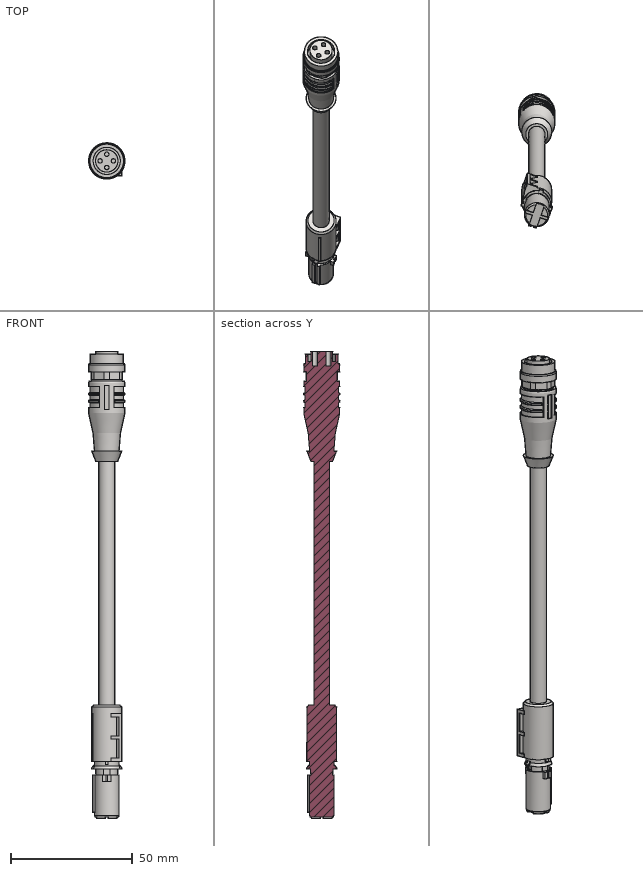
import cadquery as cq
import math

TOTAL_LENGTH = 192.6
GRIP_RADIUS = 7.5
CABLE_RADIUS = 3.4

FACE_RADIUS = 4.6
RING_RADIUS = 6.9
RING_TOP = TOTAL_LENGTH - 1.2
COLLAR_TOP = RING_TOP - 3.9
COLLAR_BOTTOM = COLLAR_TOP - 3.4
GRIP_TOP = COLLAR_BOTTOM - 3.8
GRIP_BOTTOM = GRIP_TOP - 13.3
GRIP_CHAMFER_HEIGHT = 0.8
COLLAR_CHAMFER_HEIGHT = 0.6
CHAMFER_WIDTH = 0.2
GAP_RADIUS = 6.3
HEX_BOTTOM = GRIP_TOP + 0.6
SHOULDER_RADIUS = 5.7
SHOULDER_Z = GRIP_BOTTOM - 8.1
BOOT_WAIST_RADIUS = 5.1
BOOT_RIM_RADIUS = 6.2
BOOT_RIM_Z = SHOULDER_Z - 7.5
BOOT_END_RADIUS = 4.5
BOOT_END_Z = BOOT_RIM_Z - 4.3
HEX_ACROSS_FLATS = 12.9
HEX_SIDES = 6
RING_INNER_RADIUS = 5.6
RING_GROOVE_DEPTH = 3.0

CONTACT_COUNT = 4
CONTACT_RADIUS = 0.9
CONTACT_CIRCLE_RADIUS = 2.75
CONTACT_DEPTH = 6.0

GRIP_RECESS_DEPTH = 0.5
PANEL_TOP = GRIP_TOP - 2.3
PANEL_HEIGHT = 8.6
PANEL_X_START = 2.9
PANEL_RIB_COUNT = 2
PANEL_RIB_PITCH = 3.0
PANEL_RIB_BASE = 1.4
PANEL_RIB_CREST = 0.6
PANEL_RIB_X_START = 3.5
GRIP_SLOT_WIDTH = 2.0
GRIP_SLOT_LENGTH = 10.0
GRIP_SLOT_TOP = GRIP_TOP - 1.8

SLEEVE_RADIUS = 6.2
SLEEVE_TOP = 46.8
SLEEVE_BOTTOM = 23.5
SLEEVE_CHAMFER = 0.8
NECK_RADIUS = 5.1
FLANGE_RADIUS = 5.7
FLANGE_TOP = 21.7
FLANGE_BOTTOM = 20.4
WAIST_RADIUS = 4.5
PLUG_RADIUS = 5.1
PLUG_TOP = 18.0
PLUG_CHAMFER = 0.6
PLUG_CHAMFER_HEIGHT = 1.2

HOOK_REACH = 6.2
HOOK_WIDTH = 1.8
HOOK_TOP = 22.2
HOOK_TIP_HEIGHT = 0.5
HOOK_ARM_REACH = 4.65
HOOK_ARM_BOTTOM = 18.6
NUB_WIDTH = 1.2
NUB_REACH = 5.7
NUB_HEIGHT = 1.3
TAB_WIDTH = 3.4
TAB_REACH = 6.2
TAB_HEIGHT = 2.8
TAB_SLOT_WIDTH = 0.7
TAB_SLOT_DEPTH = 0.5
WINDOW_WIDTH = 2.8
WINDOW_DEPTH = 0.4
KEY_REACH = 5.8
KEY_WIDTH = 3.4
KEY_GROOVE_WIDTH = 1.0
KEY_BOTTOM = 2.5
END_SLOT_WIDE = 3.4
END_SLOT_NARROW = 1.2
END_SLOT_DEPTH = 0.6

HOLDER_X = 6.2
HOLDER_Y = -6.2
HOLDER_INNER = 1.8
HOLDER_TOP = 43.3
HOLDER_BOTTOM = 23.5
HOLDER_LEG_COUNT = 3
HOLDER_LEG_HEIGHT = 1.4
HOLDER_SPINE_SIZE = 1.2
HOLDER_WEB_THICKNESS = 1.0
HOLDER_WEB_REACH = 8.0
HOLDER_ANGLE = -45
SLEEVE_RIB_Y = -1.8
SLEEVE_RIB_WIDTH = 1.0


def block(x_range, y_range, z_range):
    """Box given by its lower and upper limit on each axis."""
    (x0, x1), (y0, y1), (z0, z1) = x_range, y_range, z_range
    return cq.Workplane("XY").box(x1 - x0, y1 - y0, z1 - z0, centered=False).translate((x0, y0, z0))


def disc(radius, bottom, top):
    return cq.Workplane("XY").workplane(offset=bottom).circle(radius).extrude(top - bottom)


def turned_body():
    """All coaxial diameters, from the plug end up to the female face."""
    outline = [
        (0, 0),
        (PLUG_RADIUS - PLUG_CHAMFER, 0),
        (PLUG_RADIUS, PLUG_CHAMFER_HEIGHT),
        (PLUG_RADIUS, PLUG_TOP),
        (WAIST_RADIUS, PLUG_TOP),
        (WAIST_RADIUS, FLANGE_BOTTOM),
        (FLANGE_RADIUS, FLANGE_BOTTOM),
        (NECK_RADIUS, FLANGE_TOP),
        (NECK_RADIUS, SLEEVE_BOTTOM),
        (SLEEVE_RADIUS, SLEEVE_BOTTOM),
        (SLEEVE_RADIUS, SLEEVE_TOP - SLEEVE_CHAMFER),
        (SLEEVE_RADIUS - SLEEVE_CHAMFER, SLEEVE_TOP),
        (CABLE_RADIUS, SLEEVE_TOP),
        (CABLE_RADIUS, BOOT_END_Z),
        (BOOT_END_RADIUS, BOOT_END_Z),
        (BOOT_RIM_RADIUS, BOOT_RIM_Z),
        (BOOT_WAIST_RADIUS, BOOT_RIM_Z),
        (SHOULDER_RADIUS, SHOULDER_Z),
        (GRIP_RADIUS, GRIP_BOTTOM),
        (GRIP_RADIUS, GRIP_TOP - GRIP_CHAMFER_HEIGHT),
        (GRIP_RADIUS - CHAMFER_WIDTH, GRIP_TOP),
        (GAP_RADIUS, GRIP_TOP),
        (GAP_RADIUS, HEX_BOTTOM),
        (RING_RADIUS, HEX_BOTTOM),
        (RING_RADIUS, COLLAR_BOTTOM),
        (GRIP_RADIUS, COLLAR_BOTTOM),
        (GRIP_RADIUS, COLLAR_TOP - COLLAR_CHAMFER_HEIGHT),
        (GRIP_RADIUS - CHAMFER_WIDTH, COLLAR_TOP),
        (RING_RADIUS, COLLAR_TOP),
        (RING_RADIUS, RING_TOP),
        (FACE_RADIUS, RING_TOP),
        (FACE_RADIUS, TOTAL_LENGTH),
        (0, TOTAL_LENGTH),
    ]
    return cq.Workplane("XZ").polyline(outline).close().revolve(360, (0, 0, 0), (0, 1, 0))


def hex_flats():
    """Material outside the rounded hexagon below the collar; one flat faces -X."""
    height = COLLAR_BOTTOM - HEX_BOTTOM
    corner_diameter = HEX_ACROSS_FLATS / math.cos(math.pi / HEX_SIDES)
    half_step = 180 / HEX_SIDES
    hexagon = cq.Workplane("XY").polygon(HEX_SIDES, corner_diameter).extrude(height)
    hexagon = hexagon.rotate((0, 0, 0), (0, 0, 1), half_step).translate((0, 0, HEX_BOTTOM))
    return disc(GRIP_RADIUS, HEX_BOTTOM, COLLAR_BOTTOM).cut(hexagon)


def face_recesses():
    """Annular gap around the insert, and the contact holes in its face."""
    gap_bottom = RING_TOP - RING_GROOVE_DEPTH
    cutter = disc(RING_INNER_RADIUS, gap_bottom, RING_TOP).cut(disc(FACE_RADIUS, gap_bottom, RING_TOP))
    contacts = (
        cq.Workplane("XY")
        .workplane(offset=TOTAL_LENGTH - CONTACT_DEPTH)
        .polarArray(CONTACT_CIRCLE_RADIUS, 0, 360, CONTACT_COUNT)
        .circle(CONTACT_RADIUS)
        .extrude(CONTACT_DEPTH)
    )
    return cutter.union(contacts)


def grip_band(x_limit, bottom, top):
    """Slice of the grip's outer skin, on both sides where |X| exceeds the limit."""
    skin = disc(GRIP_RADIUS, bottom, top).cut(disc(GRIP_RADIUS - GRIP_RECESS_DEPTH, bottom, top))
    return skin.cut(block((-x_limit, x_limit), (-GRIP_RADIUS, GRIP_RADIUS), (bottom, top)))


def grip_panels():
    """Recessed finger panels on the +X and -X sides, with ribs left standing in them."""
    floor_radius = GRIP_RADIUS - GRIP_RECESS_DEPTH
    panels = grip_band(PANEL_X_START, PANEL_TOP - PANEL_HEIGHT, PANEL_TOP)
    for index in range(PANEL_RIB_COUNT):
        middle = PANEL_TOP - (index + 1) * PANEL_RIB_PITCH
        section = [
            (floor_radius, middle - PANEL_RIB_BASE / 2),
            (GRIP_RADIUS, middle - PANEL_RIB_CREST / 2),
            (GRIP_RADIUS, middle + PANEL_RIB_CREST / 2),
            (floor_radius, middle + PANEL_RIB_BASE / 2),
        ]
        ring = cq.Workplane("XZ").polyline(section).close().revolve(360, (0, 0, 0), (0, 1, 0))
        between_ends = block(
            (-PANEL_RIB_X_START, PANEL_RIB_X_START),
            (-GRIP_RADIUS, GRIP_RADIUS),
            (GRIP_BOTTOM, GRIP_TOP),
        )
        panels = panels.cut(ring.cut(between_ends))
    return panels


def grip_slots():
    """One upright slot on each of the +Y and -Y sides of the grip."""
    half = GRIP_SLOT_WIDTH / 2
    slot_z = (GRIP_SLOT_TOP - GRIP_SLOT_LENGTH, GRIP_SLOT_TOP)
    slots = block((-half, half), (-GRIP_RADIUS, GRIP_RADIUS), slot_z)
    return slots.cut(disc(GRIP_RADIUS - GRIP_RECESS_DEPTH, GRIP_BOTTOM, GRIP_TOP))


def snap_hooks():
    """Wedge hooks with short arms below, on the +X and -X sides of the flange."""
    wedge = [
        (0, HOOK_ARM_BOTTOM),
        (HOOK_ARM_REACH, HOOK_ARM_BOTTOM),
        (HOOK_ARM_REACH, FLANGE_BOTTOM),
        (HOOK_REACH, FLANGE_BOTTOM),
        (HOOK_REACH, FLANGE_BOTTOM + HOOK_TIP_HEIGHT),
        (NECK_RADIUS, HOOK_TOP),
        (0, HOOK_TOP),
    ]
    hook = cq.Workplane("XZ").polyline(wedge).close().extrude(HOOK_WIDTH / 2, both=True)
    return hook.union(hook.mirror("YZ"))


def side_tabs():
    """Slotted bayonet tabs and the small nubs under the sleeve, on the +Y and -Y sides."""
    half = TAB_WIDTH / 2
    slot_half = TAB_SLOT_WIDTH / 2
    nub_half = NUB_WIDTH / 2
    tab_z = (PLUG_TOP - TAB_HEIGHT, PLUG_TOP)
    tab = block((-half, half), (0, TAB_REACH), tab_z)
    tab = tab.cut(block((-slot_half, slot_half), (TAB_REACH - TAB_SLOT_DEPTH, TAB_REACH), tab_z))
    nub = block((-nub_half, nub_half), (0, NUB_REACH), (SLEEVE_BOTTOM - NUB_HEIGHT, SLEEVE_BOTTOM))
    side = tab.union(nub)
    return side.union(side.mirror("XZ"))


def waist_windows():
    """Shallow flat recesses in the waist on the +Y and -Y sides."""
    half = WINDOW_WIDTH / 2
    floor = WAIST_RADIUS - WINDOW_DEPTH
    window = block((-half, half), (floor, WAIST_RADIUS), (PLUG_TOP, FLANGE_BOTTOM))
    return window.union(window.mirror("XZ"))


def plug_key():
    """Grooved coding key along the -X side of the plug."""
    half = KEY_WIDTH / 2
    groove_half = KEY_GROOVE_WIDTH / 2
    key_z = (KEY_BOTTOM, PLUG_TOP)
    key = block((-KEY_REACH, 0), (-half, half), key_z)
    return key.cut(block((-KEY_REACH, -PLUG_RADIUS), (-groove_half, groove_half), key_z))


def end_slots():
    """Crossed slots in the plug end: wide along X, narrow along Y."""
    wide = END_SLOT_WIDE / 2
    narrow = END_SLOT_NARROW / 2
    across = (-PLUG_RADIUS, PLUG_RADIUS)
    slot_z = (0, END_SLOT_DEPTH)
    return block(across, (-wide, wide), slot_z).union(block((-narrow, narrow), across, slot_z))


def label_holder():
    """Three legs, a corner spine and a diagonal web standing off the sleeve."""
    spine_x = (HOLDER_X - HOLDER_SPINE_SIZE, HOLDER_X)
    spine_y = (HOLDER_Y, HOLDER_Y + HOLDER_SPINE_SIZE)
    holder = block(spine_x, spine_y, (HOLDER_BOTTOM, HOLDER_TOP))
    leg_step = (HOLDER_TOP - HOLDER_BOTTOM - HOLDER_LEG_HEIGHT) / (HOLDER_LEG_COUNT - 1)
    for index in range(HOLDER_LEG_COUNT):
        bottom = HOLDER_BOTTOM + index * leg_step
        leg_z = (bottom, bottom + HOLDER_LEG_HEIGHT)
        leg = block((HOLDER_INNER, HOLDER_X), (HOLDER_Y, -HOLDER_INNER), leg_z)
        holder = holder.union(leg)
    web_half = HOLDER_WEB_THICKNESS / 2
    web = block((0, HOLDER_WEB_REACH), (-web_half, web_half), (HOLDER_BOTTOM, HOLDER_TOP))
    return holder.union(web.rotate((0, 0, 0), (0, 0, 1), HOLDER_ANGLE))


def sleeve_rib():
    """Low rib along the -X side of the sleeve."""
    half = SLEEVE_RIB_WIDTH / 2
    rib_y = (SLEEVE_RIB_Y - half, SLEEVE_RIB_Y + half)
    return block((-SLEEVE_RADIUS, 0), rib_y, (HOLDER_BOTTOM, HOLDER_TOP))


body = turned_body()
for recess in (hex_flats(), face_recesses(), grip_panels(), grip_slots(), waist_windows()):
    body = body.cut(recess)
for addition in (snap_hooks(), side_tabs(), plug_key(), label_holder(), sleeve_rib()):
    body = body.union(addition)
result = body.cut(end_slots())